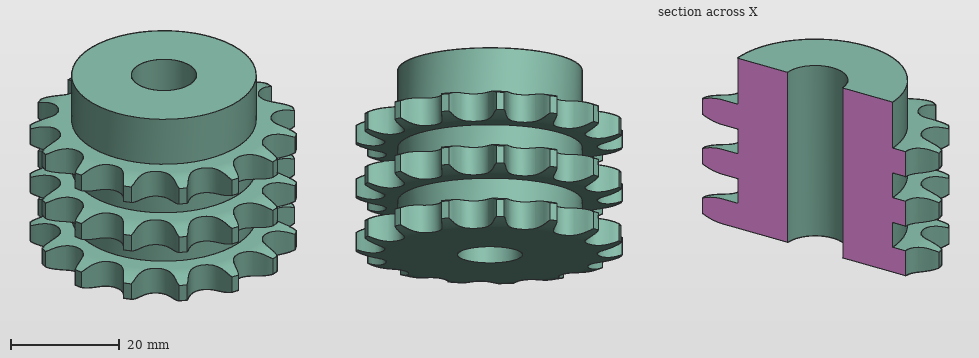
import cadquery as cq
import math


tooth_count = 15
chain_pitch = 9.55
roller_diameter = 6.35
outer_diameter = 49.3
first_tooth_angle = -90.0

strand_count = 3
strand_width = 5.2
strand_spacing = 10.15
total_height = 35.0
hub_diameter = 34.0
bore_diameter = 12.0

side_relief_depth = 1.0
side_relief_radius = 10.05
tip_clearance = 0.5

half_tooth_angle = 180 / tooth_count
pitch_radius = chain_pitch / (2 * math.sin(math.radians(half_tooth_angle)))
outer_radius = outer_diameter / 2
gap_top = outer_radius + tip_clearance

seat_radius = 0.5025 * roller_diameter
seat_angle = 35 + 60 / tooth_count
working_sweep = 18 - 56 / tooth_count
working_centre_offset = 0.8 * roller_diameter
working_radius = seat_radius + working_centre_offset
topping_centre_offset = 1.4 * roller_diameter
pressure_angle = 17 - 64 / tooth_count
straight_length = (
    topping_centre_offset * math.sin(math.radians(pressure_angle))
    - working_centre_offset * math.sin(math.radians(working_sweep))
)


def polar(centre, radius, angle):
    """Point at a radius and an angle in degrees around a centre."""
    turn = math.radians(angle)
    return (centre[0] + radius * math.cos(turn), centre[1] + radius * math.sin(turn))


def mirrored(point):
    """Same point on the other side of the gap centre line."""
    return (-point[0], point[1])


def tooth_gap():
    """Cutter for one gap between teeth, centred on +Y and open outwards."""
    roller_centre = (0, pitch_radius)
    seat_bottom = (0, pitch_radius - seat_radius)
    seat_end = polar(roller_centre, seat_radius, -seat_angle)

    working_centre = polar(roller_centre, working_centre_offset, 180 - seat_angle)
    working_end_angle = working_sweep - seat_angle
    working_middle = polar(working_centre, working_radius, working_end_angle - working_sweep / 2)
    working_end = polar(working_centre, working_radius, working_end_angle)

    straight_end = polar(working_end, straight_length, working_end_angle + 90)

    topping_centre = polar(roller_centre, topping_centre_offset, -half_tooth_angle)
    topping_radius = math.dist(topping_centre, straight_end)
    topping_end_angle = 180 - math.degrees(
        math.asin((gap_top - topping_centre[1]) / topping_radius)
    )
    topping_start_angle = working_end_angle + 180
    topping_middle_angle = (topping_start_angle + topping_end_angle) / 2
    topping_middle = polar(topping_centre, topping_radius, topping_middle_angle)
    topping_end = polar(topping_centre, topping_radius, topping_end_angle)

    return (
        cq.Workplane("XY")
        .moveTo(*mirrored(topping_end))
        .threePointArc(mirrored(topping_middle), mirrored(straight_end))
        .lineTo(*mirrored(working_end))
        .threePointArc(mirrored(working_middle), mirrored(seat_end))
        .threePointArc(seat_bottom, seat_end)
        .threePointArc(working_middle, working_end)
        .lineTo(*straight_end)
        .threePointArc(topping_middle, topping_end)
        .close()
        .extrude(strand_width)
    )


def strand_blank():
    """Disc whose rim is rounded on both sides, starting tangent to the flat faces."""
    relief_length = math.sqrt(
        side_relief_radius**2 - (side_relief_radius - side_relief_depth) ** 2
    )
    face_radius = outer_radius - relief_length

    half_relief_angle = math.asin(relief_length / side_relief_radius) / 2
    middle_radius = face_radius + side_relief_radius * math.sin(half_relief_angle)
    middle_depth = side_relief_radius * (1 - math.cos(half_relief_angle))

    return (
        cq.Workplane("XZ")
        .lineTo(face_radius, 0)
        .threePointArc((middle_radius, middle_depth), (outer_radius, side_relief_depth))
        .lineTo(outer_radius, strand_width - side_relief_depth)
        .threePointArc((middle_radius, strand_width - middle_depth), (face_radius, strand_width))
        .lineTo(0, strand_width)
        .close()
        .revolve(360, (0, 0, 0), (0, 1, 0))
    )


def toothed_strand():
    """One ring of teeth with its lower face on Z = 0."""
    strand = strand_blank()
    gap = tooth_gap()
    first_gap_turn = first_tooth_angle + half_tooth_angle - 90
    for index in range(tooth_count):
        turn = first_gap_turn + index * 2 * half_tooth_angle
        strand = strand.cut(gap.rotate((0, 0, 0), (0, 0, 1), turn))
    return strand


sprocket = cq.Workplane("XY").circle(hub_diameter / 2).extrude(total_height)

strand = toothed_strand()
for level in range(strand_count):
    sprocket = sprocket.union(strand.translate((0, 0, level * strand_spacing)))

bore = cq.Workplane("XY").circle(bore_diameter / 2).extrude(total_height)
result = sprocket.cut(bore)